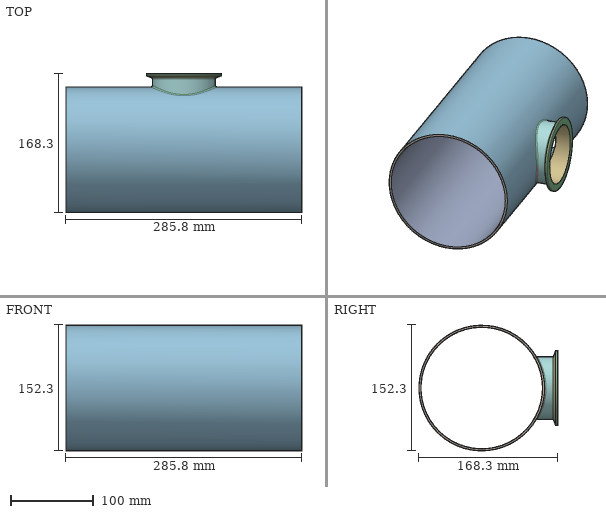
import cadquery as cq
import math

TUBE_LENGTH = 285.8
TUBE_OD = 152.3
TUBE_ID = 147.0

BRANCH_OD = 76.3
BRANCH_ID = 73.0
SADDLE_FILLET = 1.7

OVERALL_DEPTH = 168.3
FLANGE_OD = 91.0
RIM_THICKNESS = 3.0
RIM_FILLET = 0.43
CONE_ANGLE = 20.0
NECK_FILLET = 1.1

FACE_Y = OVERALL_DEPTH - TUBE_OD / 2
RIM_BACK_Y = FACE_Y - RIM_THICKNESS
CONE_DROP = (FLANGE_OD - BRANCH_OD) / 2 * math.tan(math.radians(CONE_ANGLE))
NECK_Y = RIM_BACK_Y - CONE_DROP


def x_cylinder(diameter):
    """Solid cylinder along X with the length of the main tube."""
    return cq.Workplane("YZ").circle(diameter / 2).extrude(TUBE_LENGTH / 2, both=True)


def y_cylinder(diameter):
    """Solid cylinder along +Y from the tube axis to the flange face."""
    return cq.Workplane("XZ").circle(diameter / 2).extrude(-FACE_Y)


def flange():
    """Solid clamp flange: rim with a rounded front edge and a conical back that meets the branch."""
    profile = (
        cq.Workplane("XY")
        .moveTo(0, FACE_Y)
        .lineTo(FLANGE_OD / 2, FACE_Y)
        .lineTo(FLANGE_OD / 2, RIM_BACK_Y)
        .lineTo(BRANCH_OD / 2, NECK_Y)
        .lineTo(0, NECK_Y)
        .close()
    )
    body = profile.revolve(360, (0, 0, 0), (0, 1, 0))
    return body.faces(">Y").edges().fillet(RIM_FILLET)


def edges_between(y_low, y_high):
    """Selector for edges whose centre lies in a band of Y, away from the tube ends."""
    reach = FLANGE_OD
    return cq.selectors.BoxSelector((-reach, y_low, -reach), (reach, y_high, reach))


outside = x_cylinder(TUBE_OD).union(y_cylinder(BRANCH_OD)).union(flange())

saddle_edge = edges_between(TUBE_OD / 4, TUBE_OD / 2)
outside = outside.edges(saddle_edge).fillet(SADDLE_FILLET)
neck_edge = edges_between(NECK_Y - NECK_FILLET, NECK_Y + NECK_FILLET)
outside = outside.edges(neck_edge).fillet(NECK_FILLET)

result = outside.cut(x_cylinder(TUBE_ID)).cut(y_cylinder(BRANCH_ID))